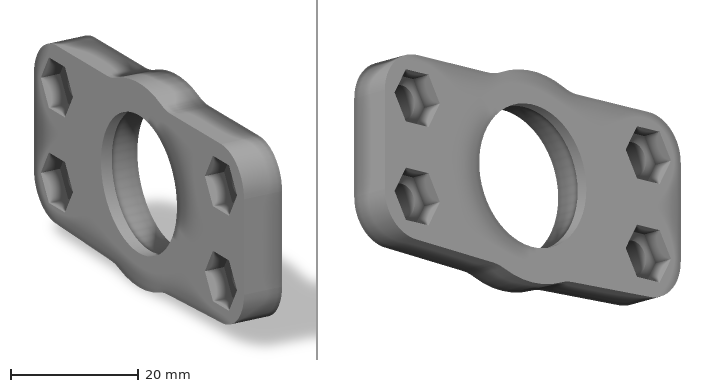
import cadquery as cq

width = 64.0
thickness = 7.0
body_height = 30.0
corner_radius = 7.0

total_height = 34.4
bulge_radius = 17.0
lower_bulge_drop = total_height - 2 * bulge_radius
blend_radius = 7.0

lower_edge_drop = 1.0

lip_diameter = 23.2
seat_diameter = 24.2
lip_depth = 2.0

bolt_spacing_x = 50.0
bolt_spacing_z = 16.0
bolt_diameter = 5.5
nut_corner_diameter = 9.8
nut_depth = 3.5

front_y = -thickness / 2


def front_sketch(depth=0.0):
    """Workplane facing +Y, starting at a depth behind the front face; local Y is -Z."""
    plane = cq.Plane(origin=(0, front_y + depth, 0), xDir=(1, 0, 0), normal=(0, 1, 0))
    return cq.Workplane(plane)


def make_body():
    slab = front_sketch().rect(width, body_height).extrude(thickness).edges("|Y").fillet(corner_radius)
    slope_start_x = width / 2 - corner_radius
    lower_edge = body_height / 2
    slope = (
        front_sketch()
        .polyline([(-slope_start_x, lower_edge), (0, lower_edge + lower_edge_drop), (slope_start_x, lower_edge)])
        .close()
        .extrude(thickness)
    )
    upper_bulge = front_sketch().circle(bulge_radius).extrude(thickness)
    lower_bulge = front_sketch().center(0, lower_bulge_drop).circle(bulge_radius).extrude(thickness)
    return slab.union(slope).union(upper_bulge).union(lower_bulge)


def blend_bulges(body):
    """Round the four inside corners where the bulges leave the long edges."""
    middle = cq.selectors.BoxSelector(
        (-bulge_radius, -thickness, -total_height),
        (bulge_radius, thickness, total_height),
    )
    return body.edges("|Y").edges(middle).fillet(blend_radius)


def make_bore():
    lip = front_sketch().circle(lip_diameter / 2).extrude(thickness)
    seat = front_sketch(lip_depth).circle(seat_diameter / 2).extrude(thickness - lip_depth)
    return lip.union(seat)


def make_bolt_cutters():
    def at_bolts():
        return front_sketch().rarray(bolt_spacing_x, bolt_spacing_z, 2, 2)

    holes = at_bolts().circle(bolt_diameter / 2).extrude(thickness)
    nut_pockets = at_bolts().polygon(6, nut_corner_diameter).extrude(nut_depth)
    return holes.union(nut_pockets)


result = blend_bulges(make_body()).cut(make_bore()).cut(make_bolt_cutters())